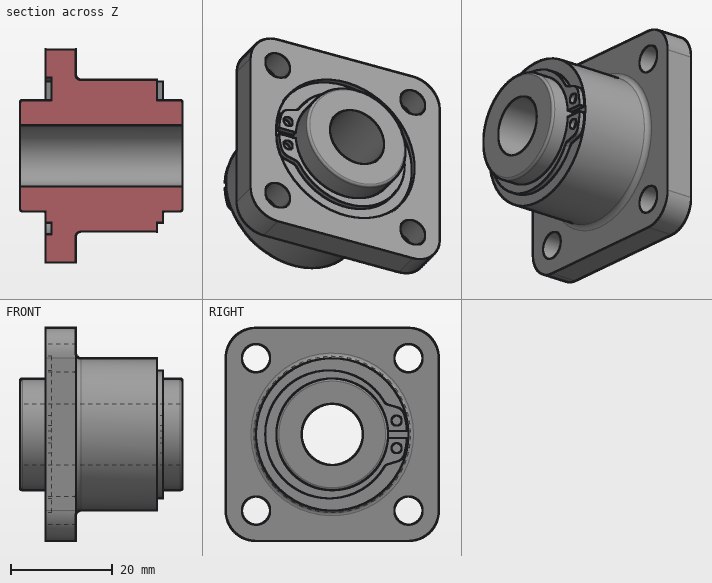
import cadquery as cq
import math

shaft_length = 32.0
shaft_diameter = 22.0
shaft_edge_radius = 0.5
bore_diameter = 12.0

flange_start = 5.0
flange_thickness = 6.0
flange_side = 42.0
flange_corner_radius = 6.0
bolt_spacing = 30.0
bolt_hole_diameter = 5.5

housing_diameter = 30.0
housing_length = 16.0
housing_root_fillet = 1.0

ring_thickness = 1.2
ring_radius = 12.6
ring_offset = 0.6
lug_radius = 14.7
lug_gap = 1.37
lug_flank_angle = 16.0
lug_flank_height = 9.0
lug_tip_fillet = 2.0
lug_root_fillet = 1.3
lug_hole_diameter = 2.0
lug_hole_y = 12.67
lug_hole_z = 2.71

recess_diameter = 30.8
recess_depth = ring_thickness

flange_end = flange_start + flange_thickness
housing_end = flange_end + housing_length


def disc(x_start, length, diameter, y_center=0.0):
    """Cylinder along +X that starts at x_start."""
    return (
        cq.Workplane("YZ", origin=(x_start, y_center, 0))
        .circle(diameter / 2)
        .extrude(length)
    )


def make_housing():
    """Flange and round body, joined by a fillet, with the bolt holes and the recess."""
    flange = (
        cq.Workplane("YZ", origin=(flange_start, 0, 0))
        .rect(flange_side, flange_side)
        .extrude(flange_thickness)
        .edges("|X")
        .fillet(flange_corner_radius)
    )
    body = flange.union(disc(flange_end, housing_length, housing_diameter))
    root_center = (flange_end, 0, 0)
    body = body.edges(cq.NearestToPointSelector(root_center)).fillet(housing_root_fillet)
    bolt_holes = (
        cq.Workplane("YZ", origin=(flange_start, 0, 0))
        .rect(bolt_spacing, bolt_spacing, forConstruction=True)
        .vertices()
        .circle(bolt_hole_diameter / 2)
        .extrude(flange_thickness)
    )
    return body.cut(bolt_holes).cut(disc(flange_start, recess_depth, recess_diameter))


def make_shaft():
    """Solid shaft with both end edges rounded."""
    return disc(0, shaft_length, shaft_diameter).edges().fillet(shaft_edge_radius)


def make_retaining_ring(x_start):
    """Retaining ring, left solid inside because the shaft fills it."""
    flank_drop = lug_radius * math.tan(math.radians(lug_flank_angle))
    lug_end_height = lug_flank_height - flank_drop
    lugs = (
        cq.Workplane("YZ", origin=(x_start, 0, 0))
        .polyline([
            (0, -lug_flank_height),
            (lug_radius, -lug_end_height),
            (lug_radius, lug_end_height),
            (0, lug_flank_height),
        ])
        .close()
        .extrude(ring_thickness)
        .intersect(disc(x_start, ring_thickness, 2 * lug_radius))
    )
    lugs = lugs.edges("|X").edges(">Y").fillet(lug_tip_fillet)
    ring = lugs.union(disc(x_start, ring_thickness, 2 * ring_radius, -ring_offset))
    ring = ring.edges("|X").edges("<Y").fillet(lug_root_fillet)
    gap = (
        cq.Workplane("YZ", origin=(x_start, 0, 0))
        .center(lug_radius / 2, 0)
        .rect(lug_radius, lug_gap)
        .extrude(ring_thickness)
    )
    lug_holes = (
        cq.Workplane("YZ", origin=(x_start, 0, 0))
        .pushPoints([(lug_hole_y, -lug_hole_z), (lug_hole_y, lug_hole_z)])
        .circle(lug_hole_diameter / 2)
        .extrude(ring_thickness)
    )
    return ring.cut(gap).cut(lug_holes)


result = make_housing().union(make_shaft())
for ring_start in (flange_start, housing_end):
    result = result.union(make_retaining_ring(ring_start))
result = result.cut(disc(0, shaft_length, bore_diameter))